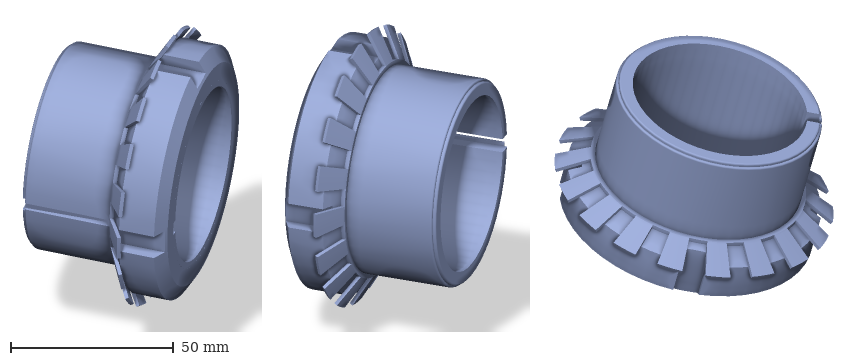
import cadquery as cq
import math


total_length = 48.0
bushing_front = 1.05
washer_front = 28.9
washer_thickness = 1.1
nut_front = washer_front + washer_thickness

bore_radius = 27.5
taper_large_radius = 31.75
taper_slope = 1 / 24
neck_radius = 60.0 / 2
shank_radius = 58.9 / 2
sleeve_slit_width = 4.5
front_rounding = 0.5

bushing_radius = 32.55
bushing_slit_width = 2.4

bend_radius = 34.0
tooth_tip_radius = 44
tooth_count = 18
tooth_pitch = 360 / tooth_count
tooth_angle = 10.4
tooth_tilt = math.radians(30)

nut_radius = 40.0
nut_cone_start_radius = 33.3
nut_cone_length = (nut_radius - nut_cone_start_radius) * math.tan(tooth_tilt)
nut_back_chamfer_length = 2.8
nut_back_chamfer_height = nut_back_chamfer_length / math.tan(tooth_tilt)
nut_lead_in = 0.5
notch_count = 4
notch_width = 8.2
notch_floor_radius = 36.0


def revolve_about_x(profile):
    """Solid of revolution from (x, radius) points, its seam on the -Y side."""
    points = [(x, -radius) for x, radius in profile]
    return cq.Workplane("XY").polyline(points).close().revolve(360, (0, 0, 0), (1, 0, 0))


def round_front_edge(ring):
    """Round the outer edge of a ring's front face."""
    return ring.faces("<X").edges(cq.selectors.RadiusNthSelector(-1)).fillet(front_rounding)


def cut_slit(body, width):
    """Slit the -Y wall of a ring over its whole length."""
    slit = cq.Workplane("XY").box(total_length, tooth_tip_radius, width, centered=(False, False, True))
    return body.cut(slit.translate((0, -tooth_tip_radius, 0)))


def polar_point(radius, angle):
    return (radius * math.cos(angle), radius * math.sin(angle))


def taper_radius(x):
    return taper_large_radius - x * taper_slope


def make_sleeve():
    profile = [
        (0, bore_radius),
        (0, taper_radius(0)),
        (washer_front, taper_radius(washer_front)),
        (washer_front, neck_radius),
        (nut_front, neck_radius),
        (nut_front, shank_radius),
        (total_length, shank_radius),
        (total_length, bore_radius),
    ]
    return cut_slit(round_front_edge(revolve_about_x(profile)), sleeve_slit_width)


def make_bushing():
    profile = [
        (bushing_front, taper_radius(bushing_front)),
        (bushing_front, bushing_radius),
        (washer_front, bushing_radius),
        (washer_front, taper_radius(washer_front)),
    ]
    return cut_slit(round_front_edge(revolve_about_x(profile)), bushing_slit_width)


def make_washer():
    tip_x = washer_front + (tooth_tip_radius - bend_radius) * math.tan(tooth_tilt)
    profile = [
        (washer_front, neck_radius),
        (washer_front, bend_radius),
        (tip_x, tooth_tip_radius),
        (tip_x + washer_thickness * math.cos(tooth_tilt),
         tooth_tip_radius - washer_thickness * math.sin(tooth_tilt)),
        (nut_front, bend_radius - washer_thickness * math.tan(tooth_tilt / 2)),
        (nut_front, neck_radius),
    ]
    washer = revolve_about_x(profile)

    half_gap = math.radians(tooth_pitch - tooth_angle) / 2
    inner_start = polar_point(bend_radius, -half_gap)
    gap_reach = 1.2 * tooth_tip_radius
    gap = (
        cq.Workplane("YZ")
        .moveTo(*inner_start)
        .lineTo(*polar_point(gap_reach, -half_gap))
        .lineTo(*polar_point(gap_reach, half_gap))
        .lineTo(*polar_point(bend_radius, half_gap))
        .threePointArc((bend_radius, 0), inner_start)
        .close()
        .extrude(total_length)
    )
    for i in range(tooth_count):
        washer = washer.cut(gap.rotate((0, 0, 0), (1, 0, 0), (i + 0.5) * tooth_pitch))
    return washer


def make_nut():
    profile = [
        (nut_front + nut_lead_in, shank_radius),
        (nut_front, shank_radius + nut_lead_in),
        (nut_front, nut_cone_start_radius),
        (nut_front + nut_cone_length, nut_radius),
        (total_length - nut_back_chamfer_length, nut_radius),
        (total_length, nut_radius - nut_back_chamfer_height),
        (total_length, shank_radius),
    ]
    nut = revolve_about_x(profile)

    notch = (
        cq.Workplane("XY")
        .box(total_length, nut_radius, notch_width, centered=(False, False, True))
        .translate((0, notch_floor_radius, 0))
    )
    for i in range(notch_count):
        nut = nut.cut(notch.rotate((0, 0, 0), (1, 0, 0), i * 360 / notch_count))
    return nut


sleeve = make_sleeve()
bushing = make_bushing()
washer = make_washer()
nut = make_nut()

result = cq.Compound.makeCompound([sleeve.val(), bushing.val(), washer.val(), nut.val()])